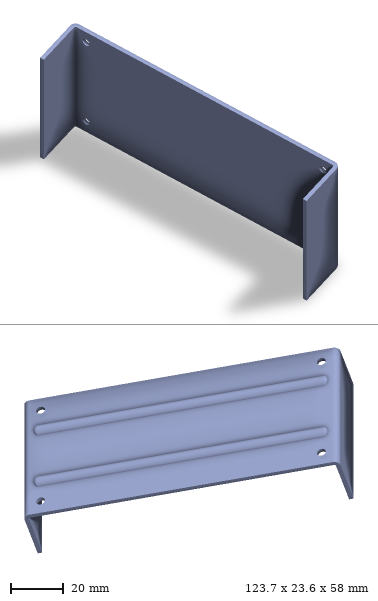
import cadquery as cq

length = 123.7
height = 58.0
total_depth = 23.6
thickness = 1.7
inner_bend_radius = 0.7
outer_bend_radius = inner_bend_radius + thickness

rib_rise = 1.5
rib_width = 5.2
rib_length = 115.3
rib_spacing = 26.0

hole_diameter = 3.5
hole_spacing_x = 110.0
hole_spacing_z = 46.0

flange_depth = total_depth - rib_rise
rib_half_width = rib_width / 2


def make_channel():
    """Channel open toward -Y, with the back face of its web at Y = 0."""
    outer = (
        cq.Workplane("XY")
        .box(length, flange_depth, height, centered=(True, False, True))
        .translate((0, -flange_depth, 0))
        .edges("|Z and >Y")
        .fillet(outer_bend_radius)
    )
    inner = (
        cq.Workplane("XY")
        .box(length - 2 * thickness, flange_depth, height, centered=(True, False, True))
        .translate((0, -flange_depth - thickness, 0))
        .edges("|Z and >Y")
        .fillet(inner_bend_radius)
    )
    return outer.cut(inner)


def rib_profile():
    """Circular segment standing on the web's back face."""
    return (
        cq.Workplane("YZ")
        .moveTo(0, -rib_half_width)
        .threePointArc((rib_rise, 0), (0, rib_half_width))
        .close()
    )


def make_rib():
    """Bar along X, each end turned down by revolving the profile about its chord."""
    straight_half_length = rib_length / 2 - rib_rise
    rib = rib_profile().extrude(straight_half_length, both=True)
    turned_end = rib_profile().revolve(360, (0, 0, 0), (0, 1, 0))
    for side in (-1, 1):
        rib = rib.union(turned_end.translate((side * straight_half_length, 0, 0)))
    return rib


def make_holes():
    """Cutters through the web at the four corners."""
    return (
        cq.Workplane("XZ")
        .rect(hole_spacing_x, hole_spacing_z, forConstruction=True)
        .vertices()
        .circle(hole_diameter / 2)
        .extrude(thickness)
    )


result = make_channel().cut(make_holes())
rib = make_rib()
for side in (-1, 1):
    result = result.union(rib.translate((0, 0, side * rib_spacing / 2)))